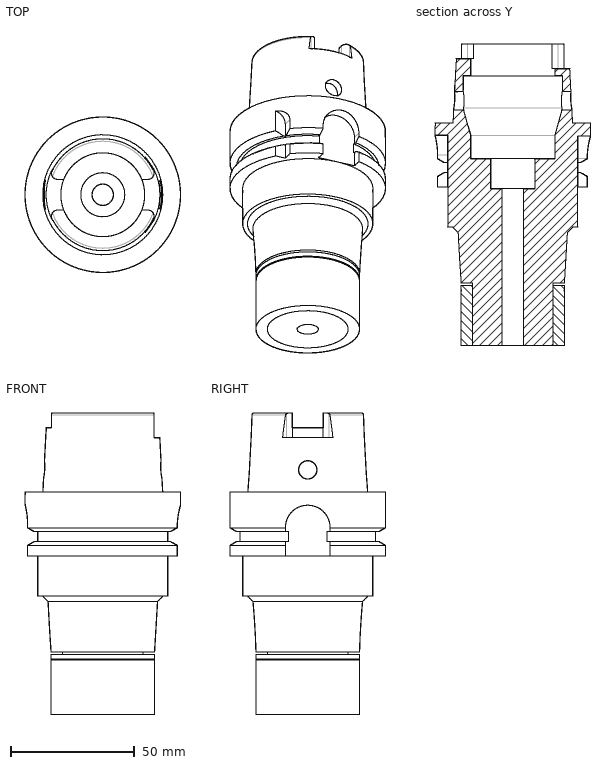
import cadquery as cq

total_height = 122.0
nut_height = 24.4
neck_gap = 0.9
shank_start_z = nut_height + neck_gap
shank_cone_top_z = 45.8
body_bottom_z = 48.0
flange_bottom_z = 64.0
flange_top_z = 90.0

neck_radius = 16.3
shank_bottom_radius = 21.0
shank_top_radius = 22.2
shoulder_top_radius = 24.4
body_radius = 26.4
flange_radius = 31.5
taper_base_radius = 24.3
taper_top_radius = 22.6
taper_edge_fillet = 1.0

groove_center_z = 72.0
groove_floor_width = 3.9
groove_radius = 27.5
groove_lip_radius = 28.8
groove_lip_height = 1.6

mouth_radius = 17.0
mouth_bottom_z = 109.1
chamber_radius = 20.0
chamber_cone_z = 96.0
chamber_cone_height = 11.0
bore_floor_z = 75.6
counterbore_radius = 8.9
counterbore_depth = 12.2
through_radius = 4.3
cross_hole_radius = 3.7
cross_hole_z = 99.0

drive_slot_half_width = 6.2
drive_flat_x = 20.7
drive_corner_radius = 2.5
drive_depth_left = 6.0
drive_depth_right = 10.0

keyway_floor_x = body_radius
keyway_top_left = 85.0
keyway_radius_left = 8.0
keyway_top_right = 84.7
keyway_radius_right = 9.0
notch_radius = 5.0
notch_floor_x = 20.0
notch_center_y = 25.0
notch_top_z = 84.5

nut_radius = 21.0
nut_groove_depth = 0.1
nut_groove_width = 0.4
nut_groove_top_z = 22.5

cut_reach = flange_radius + 6.1
left_side = -1
right_side = 1


def revolve_profile(points):
    """Revolve a closed (radius, z) outline around the Z axis."""
    return cq.Workplane("XZ").polyline(points).close().revolve(360, (0, 0), (0, 1))


def make_holder_blank():
    """Solid holder: neck, shank, body, grooved flange and taper, before any cuts."""
    groove_half = groove_floor_width / 2
    groove_low = groove_center_z - groove_half
    groove_high = groove_center_z + groove_half
    lower_body = revolve_profile([
        (0, 0),
        (neck_radius, 0),
        (neck_radius, shank_start_z),
        (shank_bottom_radius, shank_start_z),
        (shank_top_radius, shank_cone_top_z),
        (shoulder_top_radius, body_bottom_z),
        (body_radius, body_bottom_z),
        (body_radius, flange_bottom_z),
        (flange_radius, flange_bottom_z),
        (flange_radius, groove_low - groove_lip_height),
        (groove_lip_radius, groove_low),
        (groove_radius, groove_low),
        (groove_radius, groove_high),
        (groove_lip_radius, groove_high),
        (flange_radius, groove_high + groove_lip_height),
        (flange_radius, flange_top_z),
        (0, flange_top_z),
    ])
    taper = revolve_profile([
        (0, flange_top_z),
        (taper_base_radius, flange_top_z),
        (taper_top_radius, total_height),
        (0, total_height),
    ])
    return lower_body.union(taper.faces(">Z").edges().fillet(taper_edge_fillet))


def make_bore():
    counterbore_floor_z = bore_floor_z - counterbore_depth
    return revolve_profile([
        (0, 0),
        (through_radius, 0),
        (through_radius, counterbore_floor_z),
        (counterbore_radius, counterbore_floor_z),
        (counterbore_radius, bore_floor_z),
        (mouth_radius, bore_floor_z),
        (mouth_radius, chamber_cone_z - chamber_cone_height),
        (chamber_radius, chamber_cone_z),
        (chamber_radius, mouth_bottom_z),
        (mouth_radius, mouth_bottom_z),
        (mouth_radius, total_height),
        (0, total_height),
    ])


def make_cross_hole():
    return (cq.Workplane("YZ", origin=(-cut_reach, 0, cross_hole_z))
            .circle(cross_hole_radius).extrude(2 * cut_reach))


def make_drive_slot(side, depth):
    """Slot through one side of the rim, with a flat outside it and rounded corners between."""
    flat_x = side * drive_flat_x
    arc_start_x = side * (drive_flat_x - drive_corner_radius)
    arc_end_y = drive_slot_half_width + drive_corner_radius
    outer_x = side * cut_reach
    return (cq.Workplane("XY", origin=(0, 0, total_height - depth))
            .moveTo(0, -drive_slot_half_width)
            .lineTo(arc_start_x, -drive_slot_half_width)
            .tangentArcPoint((flat_x, -arc_end_y), relative=False)
            .lineTo(flat_x, -cut_reach)
            .lineTo(outer_x, -cut_reach)
            .lineTo(outer_x, cut_reach)
            .lineTo(flat_x, cut_reach)
            .lineTo(flat_x, arc_end_y)
            .tangentArcPoint((arc_start_x, drive_slot_half_width), relative=False)
            .lineTo(0, drive_slot_half_width)
            .close().extrude(depth))


def make_flange_slot(side, floor_x, center_y, radius, top_z):
    """Round-topped slot cut inward along X to a flat floor, open at the flange underside."""
    center_z = top_z - radius
    return (cq.Workplane("YZ", origin=(side * floor_x, 0, 0))
            .moveTo(center_y - radius, flange_bottom_z)
            .lineTo(center_y - radius, center_z)
            .threePointArc((center_y, top_z), (center_y + radius, center_z))
            .lineTo(center_y + radius, flange_bottom_z)
            .close().extrude(side * (cut_reach - floor_x)))


def make_holder():
    cutters = [
        make_bore(),
        make_cross_hole(),
        make_drive_slot(left_side, drive_depth_left),
        make_drive_slot(right_side, drive_depth_right),
        make_flange_slot(left_side, keyway_floor_x, 0, keyway_radius_left, keyway_top_left),
        make_flange_slot(right_side, keyway_floor_x, 0, keyway_radius_right, keyway_top_right),
        make_flange_slot(left_side, notch_floor_x, notch_center_y, notch_radius, notch_top_z),
    ]
    holder = make_holder_blank()
    for cutter in cutters:
        holder = holder.cut(cutter)
    return holder


def make_nut():
    """Plain ring around the neck, with a fine groove near its top."""
    groove_floor_radius = nut_radius - nut_groove_depth
    nut_groove_bottom_z = nut_groove_top_z - nut_groove_width
    return revolve_profile([
        (neck_radius, 0),
        (nut_radius, 0),
        (nut_radius, nut_groove_bottom_z),
        (groove_floor_radius, nut_groove_bottom_z),
        (groove_floor_radius, nut_groove_top_z),
        (nut_radius, nut_groove_top_z),
        (nut_radius, nut_height),
        (neck_radius, nut_height),
    ])


holder = make_holder()
nut = make_nut()

result = cq.Compound.makeCompound([holder.val(), nut.val()])